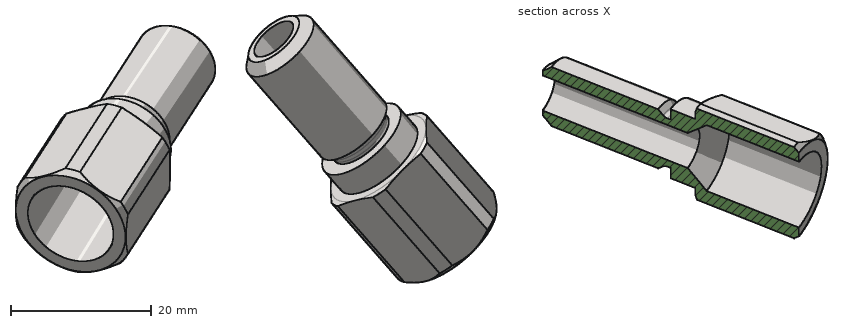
import cadquery as cq
import math

total_length = 42.0

hex_across_flats = 17.0
hex_corner_radius = 9.25
hex_length = 17.0
hex_face_radius = 8.45
front_bevel_length = 0.8
back_bevel_length = 0.25

collar_radius = 7.0
collar_length = 4.05
stud_radius = 6.0
tip_chamfer = 1.45
neck_radius = 4.9
neck_length = 2.0
neck_fillet = 1.0
run_out_angle = math.radians(45)

bore_radius = 6.6
bore_depth = 15.1
passage_radius = 3.5

collar_end = hex_length + collar_length
stud_start = collar_end + neck_length


def revolve_about_y(profile):
    """Revolve a closed (radius, y) profile a full turn about the Y axis."""
    return profile.close().revolve(360, (0, 0, 0), (0, 1, 0))


def hex_body():
    """Hexagonal prism with flats facing +/-X, rounded corners and bevelled ends."""
    prism = (
        cq.Workplane("XZ")
        .polygon(6, hex_across_flats, circumscribed=True)
        .extrude(-hex_length)
    )
    envelope = revolve_about_y(
        cq.Workplane("XY")
        .lineTo(hex_face_radius, 0)
        .lineTo(hex_corner_radius, front_bevel_length)
        .lineTo(hex_corner_radius, hex_length - back_bevel_length)
        .lineTo(hex_face_radius, hex_length)
        .lineTo(0, hex_length)
    )
    return prism.intersect(envelope)


def collar_and_stud():
    """Collar, relieved neck with a 45 degree run-out, and stud with a chamfered tip."""
    fillet_rise = neck_fillet * (1 - math.cos(run_out_angle))
    fillet_run = neck_fillet * math.sin(run_out_angle)
    cone_foot_radius = neck_radius + fillet_rise
    cone_foot = stud_start - (stud_radius - cone_foot_radius) / math.tan(run_out_angle)
    fillet_start = cone_foot - fillet_run
    fillet_middle = (
        neck_radius + neck_fillet * (1 - math.cos(run_out_angle / 2)),
        fillet_start + neck_fillet * math.sin(run_out_angle / 2),
    )
    return revolve_about_y(
        cq.Workplane("XY")
        .moveTo(0, bore_depth)
        .lineTo(collar_radius, bore_depth)
        .lineTo(collar_radius, collar_end)
        .lineTo(neck_radius, collar_end)
        .lineTo(neck_radius, fillet_start)
        .threePointArc(fillet_middle, (cone_foot_radius, cone_foot))
        .lineTo(stud_radius, stud_start)
        .lineTo(stud_radius, total_length - tip_chamfer)
        .lineTo(stud_radius - tip_chamfer, total_length)
        .lineTo(0, total_length)
    )


def passage():
    """Bore from the hex end, narrowing through a 45 degree cone to the through hole."""
    cone_end = bore_depth + bore_radius - passage_radius
    return revolve_about_y(
        cq.Workplane("XY")
        .lineTo(bore_radius, 0)
        .lineTo(bore_radius, bore_depth)
        .lineTo(passage_radius, cone_end)
        .lineTo(passage_radius, total_length)
        .lineTo(0, total_length)
    )


result = hex_body().union(collar_and_stud()).cut(passage())